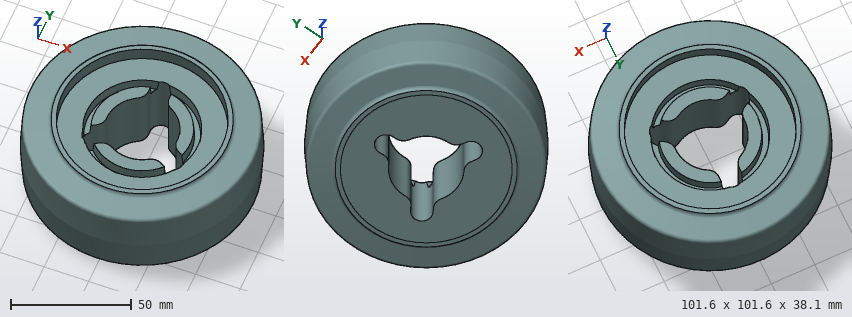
import cadquery as cq
import math

width = 38.1
crown_radius = 50.8
shoulder_radius = 50.0
shoulder_height = 15.0
flank_radius = 48.5
flank_height = 16.6
collar_foot_radius = 39.2
collar_foot_height = 17.5
collar_radius = 37.9
collar_bulge = 0.14
seat_radius = 35.8
recess_depth = 6.7

groove_depth = 5.1
groove_outer_radius = 24.8
groove_inner_radius = 21.4
groove_draft = 0.4

bore_radius = 15.7
slot_count = 3
slot_half_width = 4.7
slot_tip_radius = 25.3
lug_rounding = 5.4

half_width = width / 2
hub_top = half_width - recess_depth
hub_thickness = hub_top + half_width


def arc_middle(start, end, bulge):
    """Point on the arc from start to end, offset left of the chord by a fraction of its length."""
    dx = end[0] - start[0]
    dy = end[1] - start[1]
    return ((start[0] + end[0]) / 2 - bulge * dy, (start[1] + end[1]) / 2 + bulge * dx)


def make_rim():
    """Crowned ring with rounded shoulders and a collar on each side."""
    quarter_bulge = (math.sqrt(2) - 1) / 2
    shoulder = (shoulder_radius, shoulder_height)
    flank = (flank_radius, flank_height)
    foot = (collar_foot_radius, collar_foot_height)
    collar = (collar_radius, half_width)
    upper_half = (
        cq.Workplane("XZ")
        .moveTo(seat_radius, 0)
        .lineTo(crown_radius, 0)
        .lineTo(*shoulder)
        .threePointArc(arc_middle(shoulder, flank, -quarter_bulge), flank)
        .lineTo(*foot)
        .threePointArc(arc_middle(foot, collar, collar_bulge), collar)
        .lineTo(seat_radius, half_width)
        .close()
        .revolve(360, (0, 0), (0, 1))
    )
    return upper_half.union(upper_half.mirror("XY"))


def make_groove():
    """Tapered annular groove in the upper hub face."""
    floor = hub_top - groove_depth
    return (
        cq.Workplane("XZ")
        .moveTo(groove_inner_radius, hub_top)
        .lineTo(groove_outer_radius, hub_top)
        .lineTo(groove_outer_radius - groove_draft, floor)
        .lineTo(groove_inner_radius + groove_draft, floor)
        .close()
        .revolve(360, (0, 0), (0, 1))
    )


def make_slot():
    """Through slot along +Y that flares with a rounding into the bore."""
    round_x = slot_half_width + lug_rounding
    round_reach = bore_radius + lug_rounding
    round_y = math.sqrt(round_reach**2 - round_x**2)
    bore_x = round_x * bore_radius / round_reach
    bore_y = round_y * bore_radius / round_reach
    middle_angle = (math.pi + math.atan2(round_y, round_x) + math.pi) / 2
    middle_x = round_x + lug_rounding * math.cos(middle_angle)
    middle_y = round_y + lug_rounding * math.sin(middle_angle)
    end_y = slot_tip_radius - slot_half_width
    return (
        cq.Workplane("XY", origin=(0, 0, -half_width))
        .moveTo(0, 0)
        .lineTo(bore_x, bore_y)
        .threePointArc((middle_x, middle_y), (slot_half_width, round_y))
        .lineTo(slot_half_width, end_y)
        .threePointArc((0, slot_tip_radius), (-slot_half_width, end_y))
        .lineTo(-slot_half_width, round_y)
        .threePointArc((-middle_x, middle_y), (-bore_x, bore_y))
        .close()
        .extrude(hub_thickness)
    )


def make_hub():
    """Disc with a three-slotted bore and a groove in the upper face, flush with the rim underneath."""
    hub = (
        cq.Workplane("XY", origin=(0, 0, -half_width))
        .circle(seat_radius)
        .circle(bore_radius)
        .extrude(hub_thickness)
    )
    hub = hub.cut(make_groove())
    slot = make_slot()
    for index in range(slot_count):
        hub = hub.cut(slot.rotate((0, 0, 0), (0, 0, 1), index * 360 / slot_count))
    return hub


rim = make_rim()
hub = make_hub()
result = cq.Compound.makeCompound([rim.val(), hub.val()])